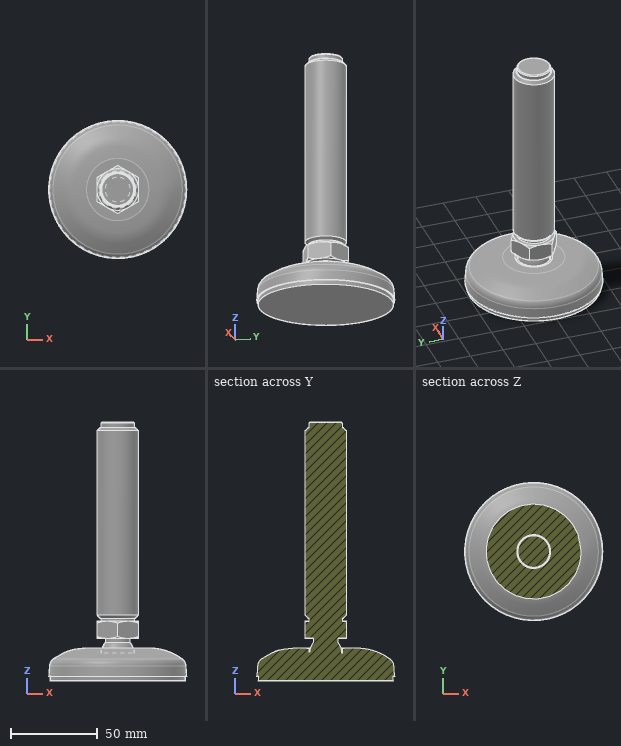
import cadquery as cq
import math

total_height = 149.2

foot_bottom_diameter = 78.2
foot_rim_diameter = 79.7
foot_shoulder_diameter = 78.8
dome_edge_diameter = 74.6
dome_flat_diameter = 36.0
foot_rim_z = 2.7
foot_shoulder_z = 8.7
dome_edge_z = 12.7
foot_top_z = 19.1
shoulder_radius = 5.7

stem_diameter = 14.3
ball_diameter = 18.8
ball_center_z = 16.1
socket_diameter = 19.2
socket_lip_diameter = 21.6
socket_lip_depth = 0.1

nut_sides = 6
nut_across_flats = 24.0
nut_bottom_z = 24.5
nut_height = 10.0
nut_chamfer_angle = 30.0

rod_diameter = 24.0
neck_diameter = 19.5
rod_chamfer = 1.8
rod_bottom_z = 37.9
pilot_height = 3.1
pilot_chamfer = 0.6


def arc_midpoint(start, end, radius):
    """Midpoint of the outward-bulging arc that runs up and inwards from start to end."""
    dx = end[0] - start[0]
    dz = end[1] - start[1]
    chord = math.hypot(dx, dz)
    bulge = radius - math.sqrt(radius**2 - (chord / 2) ** 2)
    return (
        (start[0] + end[0]) / 2 + bulge * dz / chord,
        (start[1] + end[1]) / 2 - bulge * dx / chord,
    )


def make_foot():
    """Foot plate: stepped base, tapered rim, rounded shoulder and dome tangent to its flat top."""
    shoulder = (foot_shoulder_diameter / 2, foot_shoulder_z)
    dome_edge = (dome_edge_diameter / 2, dome_edge_z)
    dome_top = (dome_flat_diameter / 2, foot_top_z)
    dome_run = dome_edge[0] - dome_top[0]
    dome_drop = dome_top[1] - dome_edge[1]
    dome_radius = (dome_run**2 + dome_drop**2) / (2 * dome_drop)
    return (
        cq.Workplane("XZ")
        .lineTo(foot_bottom_diameter / 2, 0)
        .lineTo(foot_bottom_diameter / 2, foot_rim_z)
        .lineTo(foot_rim_diameter / 2, foot_rim_z)
        .lineTo(*shoulder)
        .threePointArc(arc_midpoint(shoulder, dome_edge, shoulder_radius), dome_edge)
        .threePointArc(arc_midpoint(dome_edge, dome_top, dome_radius), dome_top)
        .lineTo(0, foot_top_z)
        .close()
        .revolve(360, (0, 0, 0), (0, 1, 0))
    )


def make_socket():
    """Round clearance around the upper half of the ball, with a shallow wider lip at the foot's top."""
    lip = (
        cq.Workplane("XY", origin=(0, 0, foot_top_z - socket_lip_depth))
        .circle(socket_lip_diameter / 2)
        .extrude(socket_lip_depth)
    )
    clearance = (
        cq.Workplane("XY", origin=(0, 0, ball_center_z))
        .circle(socket_diameter / 2)
        .extrude(foot_top_z - ball_center_z)
    )
    return clearance.union(lip)


def make_ball_stem():
    """Ball whose lower half is fused into the foot, with a stem reaching up to the nut."""
    ball = cq.Workplane("XY", origin=(0, 0, ball_center_z)).sphere(ball_diameter / 2)
    stem = (
        cq.Workplane("XY", origin=(0, 0, ball_center_z))
        .circle(stem_diameter / 2)
        .extrude(nut_bottom_z - ball_center_z)
    )
    return ball.union(stem)


def make_nut():
    """Hexagon with flats facing +X and -X and corners turned down conically at both ends."""
    corner_radius = nut_across_flats / 2 / math.cos(math.pi / nut_sides)
    face_radius = nut_across_flats / 2
    corner_drop = (corner_radius - face_radius) * math.tan(math.radians(nut_chamfer_angle))
    hexagon = (
        cq.Workplane("XY")
        .workplane(offset=nut_bottom_z)
        .polygon(nut_sides, 2 * corner_radius)
        .extrude(nut_height)
        .rotate((0, 0, 0), (0, 0, 1), 180 / nut_sides)
    )
    turned_blank = (
        cq.Workplane("XZ", origin=(0, 0, nut_bottom_z))
        .lineTo(face_radius, 0)
        .lineTo(corner_radius, corner_drop)
        .lineTo(corner_radius, nut_height - corner_drop)
        .lineTo(face_radius, nut_height)
        .lineTo(0, nut_height)
        .close()
        .revolve(360, (0, 0, 0), (0, 1, 0))
    )
    return hexagon.intersect(turned_blank)


def make_rod():
    """Neck, chamfered rod and chamfered pilot in one turned profile."""
    rod_radius = rod_diameter / 2
    neck_radius = neck_diameter / 2
    chamfer_radius = rod_radius - rod_chamfer
    nut_top_z = nut_bottom_z + nut_height
    pilot_bottom_z = total_height - pilot_height
    return (
        cq.Workplane("XZ")
        .moveTo(0, nut_top_z)
        .lineTo(neck_radius, nut_top_z)
        .lineTo(neck_radius, rod_bottom_z - rod_chamfer)
        .lineTo(chamfer_radius, rod_bottom_z - rod_chamfer)
        .lineTo(rod_radius, rod_bottom_z)
        .lineTo(rod_radius, pilot_bottom_z - rod_chamfer)
        .lineTo(chamfer_radius, pilot_bottom_z)
        .lineTo(neck_radius, pilot_bottom_z)
        .lineTo(neck_radius, total_height - pilot_chamfer)
        .lineTo(neck_radius - pilot_chamfer, total_height)
        .lineTo(0, total_height)
        .close()
        .revolve(360, (0, 0, 0), (0, 1, 0))
    )


foot = make_foot().cut(make_socket())
result = foot.union(make_ball_stem()).union(make_nut()).union(make_rod())